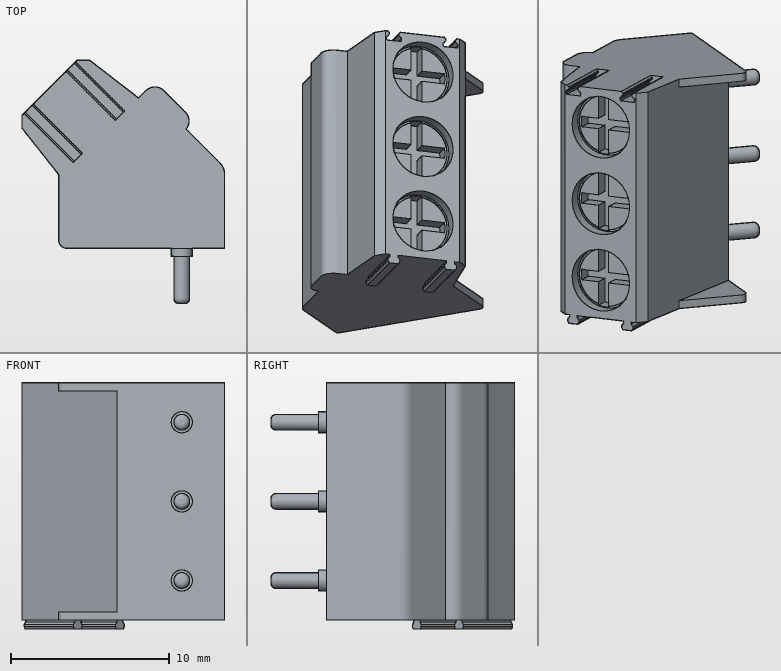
import cadquery as cq
import math


pole_count = 3
pitch = 5.0
body_height = pole_count * pitch

right_x = 2.71
base_left_x = -7.78
tip_left_x = -10.11
top_y = 11.9
top_flat_right_x = -5.83
face_left_y = 8.40
tip_lower_y = 7.60
slant_end_y = 4.65
foot_radius = 0.5
shoulder_radius = 1.0

face_u = (tip_left_x - face_left_y) * math.sqrt(0.5)
screw_v = 1.24
shoulder_v = 5.52

bulge_center_u = -6.89
bulge_width = 3.53
bulge_outer_v = shoulder_v + 0.73
bulge_inner_v = 4.5
bulge_radius = 0.8
notch_v = 4.79

plate_thickness = 0.52

pin_diameter = 1.0
pin_length = 3.5
pin_tip_radius = 0.32
collar_diameter = 1.34
collar_length = 0.5

screw_hole_radius = 2.0
screw_hole_depth = 0.82
head_radius = 1.87
head_depth = 0.77
drive_slot_reach = 1.72
slot_depth = head_depth + 0.97
drive_slot_width = 0.68
cross_slot_width = 0.72
cross_slot_reach = 1.95
cross_slot_offset = 0.17

dovetail_middle_v = 1.28
dovetail_spacing = 3.77
dovetail_v = [dovetail_middle_v - dovetail_spacing / 2, dovetail_middle_v + dovetail_spacing / 2]
dovetail_length = 4.4
groove_steps = [(0.42, 0.0), (0.31, 0.12), (0.31, 0.22), (0.50, 0.41), (0.50, 0.52), (0.46, 0.62)]
rib_steps = [(0.27, 0.0), (0.27, 0.12), (0.40, 0.29), (0.40, 0.42), (0.30, 0.57)]


def from_turned(u, v):
    """X and Y of a point given in the turned frame."""
    return (u + v) * math.sqrt(0.5), (v - u) * math.sqrt(0.5)


def face_plane(v, z):
    """Plane on the screw face: local x along V, local y along Z, normal into the body."""
    x, y = from_turned(face_u, v)
    return cq.Plane(origin=(x, y, z), xDir=(1, 1, 0), normal=(1, -1, 0))


def pole_heights():
    return [(i + 0.5) * pitch for i in range(pole_count)]


def make_body():
    face_top_x = top_y + tip_left_x - face_left_y
    shoulder_sum = shoulder_v * math.sqrt(2)
    outline = [
        (base_left_x, 0),
        (right_x, 0),
        (right_x, shoulder_sum - right_x),
        from_turned(bulge_center_u, shoulder_v),
        from_turned(bulge_center_u - bulge_width / 2, notch_v),
        (top_flat_right_x, top_y),
        (face_top_x, top_y),
        (tip_left_x, face_left_y),
        (tip_left_x, tip_lower_y),
        (base_left_x, slant_end_y),
    ]
    body = cq.Workplane("XY").polyline(outline).close().extrude(body_height)
    foot_edge = cq.NearestToPointSelector((base_left_x, 0, body_height / 2))
    body = body.edges(foot_edge).fillet(foot_radius)
    shoulder_edge = cq.NearestToPointSelector((right_x, shoulder_sum - right_x, body_height / 2))
    return body.edges(shoulder_edge).fillet(shoulder_radius)


def make_bulge():
    turned_plane = cq.Plane(origin=(0, 0, 0), xDir=(1, -1, 0), normal=(0, 0, 1))
    return (
        cq.Workplane(turned_plane)
        .center(bulge_center_u, (bulge_inner_v + bulge_outer_v) / 2)
        .rect(bulge_width, bulge_outer_v - bulge_inner_v)
        .extrude(body_height)
        .edges("|Z")
        .edges(">(1, 1, 0)")
        .fillet(bulge_radius)
    )


def make_recess():
    """Wedge between the end plates, bounded by the lower slant carried on to the mounting face."""
    slant = (slant_end_y - tip_lower_y) / (base_left_x - tip_left_x)
    slant_foot_x = base_left_x - slant_end_y / slant
    return (
        cq.Workplane("XY")
        .workplane(offset=plate_thickness)
        .polyline([(base_left_x, slant_end_y), (slant_foot_x, 0), (base_left_x, 0)])
        .close()
        .extrude(body_height - 2 * plate_thickness)
    )


def make_pin(z):
    base = cq.Workplane("XZ", origin=(0, 0, z))
    pin = base.circle(pin_diameter / 2).extrude(pin_length).faces("<Y").edges().fillet(pin_tip_radius)
    return pin.union(base.circle(collar_diameter / 2).extrude(collar_length))


def make_screw_cut(z):
    """Screw hole with the screw head left standing in it, and the head's two crossed slots."""
    base = cq.Workplane(face_plane(screw_v, z))
    hole = base.circle(screw_hole_radius).extrude(screw_hole_depth)
    head = base.workplane(offset=head_depth).circle(head_radius).extrude(screw_hole_depth - head_depth)
    drive_slot = (
        base.rect(2 * head_radius, drive_slot_width)
        .extrude(slot_depth)
        .intersect(base.circle(drive_slot_reach).extrude(slot_depth))
    )
    cross_slot = (
        base.center(cross_slot_offset, 0)
        .rect(cross_slot_width, 2 * cross_slot_reach)
        .extrude(slot_depth)
        .intersect(base.circle(cross_slot_reach).extrude(slot_depth))
    )
    return hole.cut(head).union(drive_slot).union(cross_slot)


def make_dovetail(v, surface_z, steps):
    """Bar with a dovetail section that reaches downwards from the given height."""
    one_side = [(half, -depth) for half, depth in steps]
    other_side = [(-half, z) for half, z in reversed(one_side)]
    section = cq.Workplane(face_plane(v, surface_z)).polyline(one_side + other_side).close()
    return section.extrude(dovetail_length)


result = make_body().union(make_bulge()).cut(make_recess())
for pole_z in pole_heights():
    result = result.union(make_pin(pole_z)).cut(make_screw_cut(pole_z))
for dovetail_center in dovetail_v:
    result = result.cut(make_dovetail(dovetail_center, body_height, groove_steps))
    result = result.union(make_dovetail(dovetail_center, 0, rib_steps))